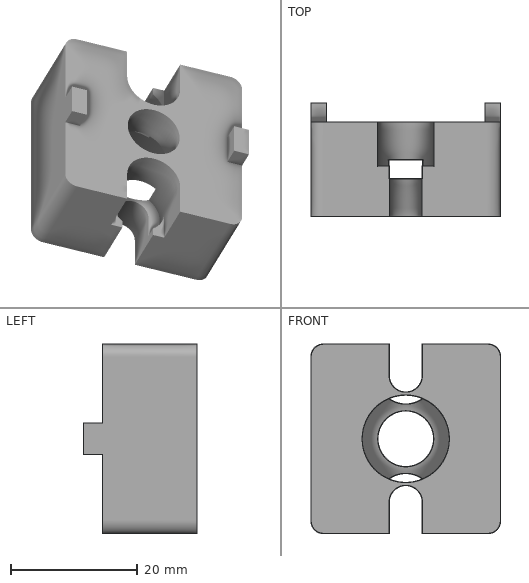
import cadquery as cq

side = 30.0
depth = 15.0
corner_radius = 2.0

bore_diameter = 13.8
bore_depth = 9.0
through_diameter = 8.8

screw_offset = 10.0
shank_width = 5.2
head_diameter = 9.0
head_slot_depth = 7.0
head_seat_depth = 9.0

tab_width = 2.5
tab_length = 3.0
tab_height = 5.0


def cylinder_y(diameter, y_start, y_end, z=0.0):
    """Solid cylinder parallel to Y between two Y positions."""
    axis = cq.Vector(0, 1, 0)
    start = cq.Vector(0, y_start, z)
    return cq.Workplane(cq.Solid.makeCylinder(diameter / 2, y_end - y_start, start, axis))


def round_ended_slot(width, y_start, y_end):
    """Slot cutter that runs from the top face down to a round end on the screw axis."""
    straight_height = side / 2 - screw_offset
    straight = (
        cq.Workplane("XY")
        .box(width, y_end - y_start, straight_height, centered=(True, False, False))
        .translate((0, y_start, screw_offset))
    )
    return straight.union(cylinder_y(width, y_start, y_end, screw_offset))


def make_block():
    block = cq.Workplane("XY").box(side, depth, side, centered=(True, False, True))
    return block.edges("|Y").fillet(corner_radius)


def make_bore():
    return cylinder_y(bore_diameter, 0, bore_depth).union(cylinder_y(through_diameter, 0, depth))


def make_screw_slot():
    shank_slot = round_ended_slot(shank_width, 0, depth)
    head_slot = round_ended_slot(head_diameter, depth - head_slot_depth, depth)
    head_seat = cylinder_y(head_diameter, depth - head_seat_depth, depth, screw_offset)
    return shank_slot.union(head_slot).union(head_seat)


def make_tab(direction):
    tab = cq.Workplane("XY").box(tab_width, tab_length, tab_height, centered=(True, False, True))
    return tab.translate((direction * (side - tab_width) / 2, depth, 0))


result = make_block().cut(make_bore())

upper_slot = make_screw_slot()
result = result.cut(upper_slot).cut(upper_slot.mirror("XY"))

for direction in (-1, 1):
    result = result.union(make_tab(direction))